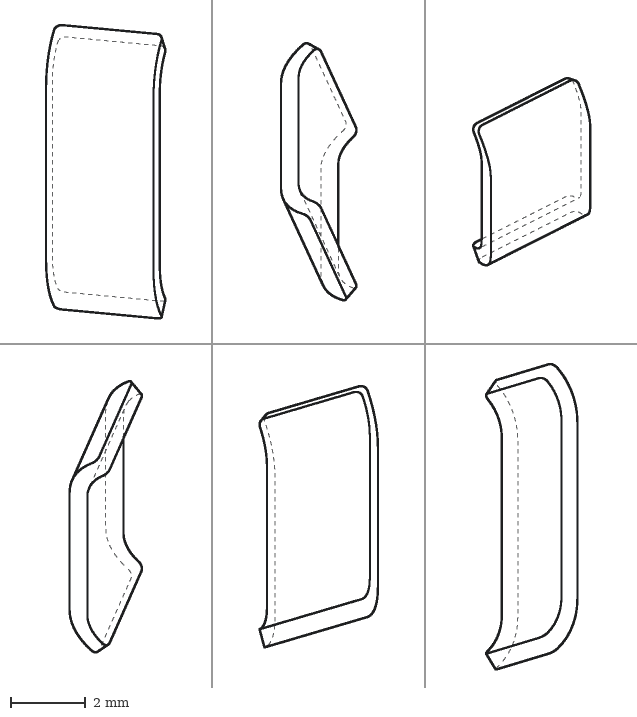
import cadquery as cq
import math

width = 3.05
height = 7.87
thickness = 0.5
flat_height = 4.8
outer_radius = 1.905
corner_radius = 0.19

inner_radius = outer_radius - thickness
flat_half = flat_height / 2
end_angle = math.asin((height / 2 - flat_half) / outer_radius)
front_y = -0.535
centre_y = front_y + outer_radius


def arc_point(radius, angle, side):
    """Point (y, z) on the upper (side=1) or lower (side=-1) curled end."""
    y = centre_y - radius * math.cos(angle)
    z = side * (flat_half + radius * math.sin(angle))
    return y, z


mid_angle = end_angle / 2
profile = (
    cq.Workplane("YZ", origin=(-width / 2, 0, 0))
    .moveTo(*arc_point(outer_radius, 0, -1))
    .lineTo(*arc_point(outer_radius, 0, 1))
    .threePointArc(arc_point(outer_radius, mid_angle, 1), arc_point(outer_radius, end_angle, 1))
    .lineTo(*arc_point(inner_radius, end_angle, 1))
    .threePointArc(arc_point(inner_radius, mid_angle, 1), arc_point(inner_radius, 0, 1))
    .lineTo(*arc_point(inner_radius, 0, -1))
    .threePointArc(arc_point(inner_radius, mid_angle, -1), arc_point(inner_radius, end_angle, -1))
    .lineTo(*arc_point(outer_radius, end_angle, -1))
    .threePointArc(arc_point(outer_radius, mid_angle, -1), arc_point(outer_radius, 0, -1))
    .close()
)
strip = profile.extrude(width)

for side in (1, -1):
    tip_direction = cq.Vector(0, math.cos(end_angle), -side * math.sin(end_angle))
    tip_edges = cq.selectors.ParallelDirSelector(tip_direction)
    strip = strip.edges(tip_edges).fillet(corner_radius)

result = strip